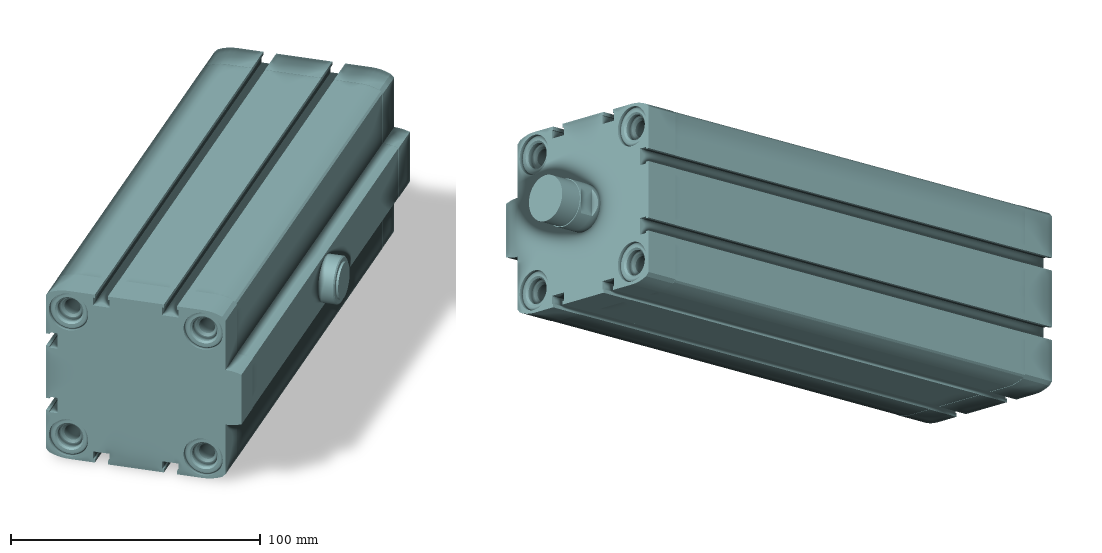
import cadquery as cq
import math

side = 75.5
half_side = side / 2
total_length = 245.7
rod_length = 21.0
housing_length = total_length - rod_length
housing_mid_y = housing_length / 2
cap_length = 15.0

middle_inset = 0.12

crown_radius = 19.7
crown_width = 9.5
cap_bevel = 1.5
middle_bevel = 0.7

ridge_height = 6.6
ridge_width = 24.5
ridge_face_x = half_side + ridge_height

slot_offset = 14.5
slot_mouth = 5.5
slot_width = 7.0
slot_depth = 5.0
slot_lip = 1.5

hole_offset = 28.3
bore_diameter = 6.6
bore_mouth_diameter = 8.5
socket_diameter = 10.5
socket_mouth_diameter = 12.0
socket_depth = 3.0
recess_diameter = 16.5
recess_depth = 1.2
collar_diameter = 15.5

connector_diameter = 20.0
connector_length = 6.6
connector_chamfer = 0.5
insert_diameter = 15.5
overall_width = 89.7
insert_length = overall_width - side - ridge_height - connector_length

stem_diameter = 20.0
stem_length = 11.0
tip_diameter = 19.2
flat_across = 16.5
flat_start = 3.0
flat_end = 9.0


def bar_outline(inset, bevel):
    """Section of the bar in X and Z, every face moved inward by inset."""
    edge = half_side - inset
    arc_start_x = half_side - crown_width
    arc_width = crown_width - inset - bevel
    arc_angle = math.asin(arc_width / crown_radius)

    def arc_point(angle):
        x = arc_start_x + crown_radius * math.sin(angle)
        z = edge - crown_radius * (1 - math.cos(angle))
        return x, z

    arc_start = arc_point(0)
    arc_middle = arc_point(arc_angle / 2)
    arc_end = arc_point(arc_angle)
    bevel_end = (edge, arc_end[1] - bevel)

    quarter = (
        cq.Workplane("XZ")
        .moveTo(0, edge)
        .lineTo(*arc_start)
        .threePointArc(arc_middle, arc_end)
        .lineTo(*bevel_end)
        .lineTo(edge, 0)
    )
    return quarter.mirrorX().mirrorY()


def ridge_outline(inset):
    """Section of the ridge, rooted inside the bar."""
    root_x = half_side - ridge_height
    face_x = ridge_face_x - inset
    half_width = ridge_width / 2 - inset
    arc_angle = math.asin((face_x - half_side) / crown_radius)

    def arc_point(angle):
        x = half_side + crown_radius * math.sin(angle)
        z = half_width - crown_radius * (1 - math.cos(angle))
        return x, z

    middle_x, middle_z = arc_point(arc_angle / 2)
    end_x, end_z = arc_point(arc_angle)
    return (
        cq.Workplane("XZ")
        .moveTo(root_x, half_width)
        .lineTo(half_side, half_width)
        .threePointArc((middle_x, middle_z), (end_x, end_z))
        .lineTo(end_x, -end_z)
        .threePointArc((middle_x, -middle_z), (half_side, -half_width))
        .lineTo(root_x, -half_width)
        .close()
    )


def housing_section(start_y, length, inset, bevel):
    """Stretch of the bar with its ridge, from start_y toward +Y."""
    bar = bar_outline(inset, bevel).extrude(-length)
    ridge = ridge_outline(inset).extrude(-length)
    return bar.union(ridge).translate((0, start_y, 0))


def t_slot(along, turn):
    """Full-length T-slot cutter beside the centre of a face; turn 0 is the top face."""
    under_height = slot_depth - slot_lip
    mouth = cq.Workplane("XY").box(slot_mouth, housing_length, 2 * slot_lip)
    under = cq.Workplane("XY").box(slot_width, housing_length, under_height)
    under = under.translate((0, 0, -slot_lip - under_height / 2))
    cutter = mouth.union(under).translate((along, housing_mid_y, half_side))
    return cutter.rotate((0, 0, 0), (0, 1, 0), turn)


def cone_step(start_diameter, end_diameter, start_y):
    """45 degree cone from the larger start diameter, narrowing toward +Y."""
    depth = (start_diameter - end_diameter) / 2
    cone = cq.Solid.makeCone(
        start_diameter / 2, end_diameter / 2, depth, cq.Vector(0, start_y, 0), cq.Vector(0, 1, 0)
    )
    return cq.Workplane(obj=cone)


def plain_hole(diameter, start_y, depth):
    return cq.Workplane("XZ", origin=(0, start_y, 0)).circle(diameter / 2).extrude(-depth)


def collar_groove():
    """V-groove around the collar, in the recess floor, with a conical inner wall."""
    collar_radius = collar_diameter / 2
    recess_radius = recess_diameter / 2
    groove_bottom = recess_depth + recess_radius - collar_radius
    return (
        cq.Workplane("XY")
        .moveTo(collar_radius, recess_depth)
        .lineTo(recess_radius, recess_depth)
        .lineTo(recess_radius, groove_bottom)
        .close()
        .revolve(360, (0, 0, 0), (0, 1, 0))
    )


def fastening_hole():
    """Cutter for one through hole on the Y axis, alike at both ends."""
    socket_floor = recess_depth + socket_depth
    end_form = (
        plain_hole(recess_diameter, 0, recess_depth)
        .union(collar_groove())
        .union(plain_hole(socket_diameter, 0, socket_floor))
        .union(cone_step(socket_mouth_diameter, socket_diameter, recess_depth))
        .union(cone_step(bore_mouth_diameter, bore_diameter, socket_floor))
    )
    far_form = end_form.mirror("XZ").translate((0, housing_length, 0))
    return plain_hole(bore_diameter, 0, housing_length).union(end_form).union(far_form)


def make_housing():
    middle_length = housing_length - 2 * cap_length
    housing = housing_section(cap_length, middle_length, middle_inset, middle_bevel)
    for cap_start in (0, housing_length - cap_length):
        housing = housing.union(housing_section(cap_start, cap_length, 0, cap_bevel))
    for turn in (0, 180, -90):
        for along in (-slot_offset, slot_offset):
            housing = housing.cut(t_slot(along, turn))
    hole = fastening_hole()
    for x in (-hole_offset, hole_offset):
        for z in (-hole_offset, hole_offset):
            housing = housing.cut(hole.translate((x, 0, z)))
    return housing


def make_side_connector():
    shell = (
        cq.Workplane("YZ", origin=(ridge_face_x, housing_mid_y, 0))
        .circle(connector_diameter / 2)
        .extrude(connector_length)
        .faces(">X")
        .chamfer(connector_chamfer)
    )
    return shell.faces(">X").workplane().circle(insert_diameter / 2).extrude(insert_length)


def wrench_flat():
    """Cutter for the +X wrench flat, with 45 degree slopes at both ends."""
    flat_x = flat_across / 2
    outer_x = stem_diameter / 2
    slope = outer_x - flat_x
    return (
        cq.Workplane("XY", origin=(0, housing_length, -stem_diameter / 2))
        .moveTo(outer_x, flat_start - slope)
        .lineTo(flat_x, flat_start)
        .lineTo(flat_x, flat_end)
        .lineTo(outer_x, flat_end + slope)
        .close()
        .extrude(stem_diameter)
    )


def make_rear_connector():
    blank = cq.Workplane("XZ", origin=(0, housing_length, 0))
    stem = blank.circle(stem_diameter / 2).extrude(-stem_length)
    tip = stem.faces(">Y").workplane().circle(tip_diameter / 2).extrude(rod_length - stem_length)
    flat = wrench_flat()
    return tip.cut(flat).cut(flat.mirror("YZ"))


housing = make_housing()
side_connector = make_side_connector()
rear_connector = make_rear_connector()

result = cq.Compound.makeCompound([housing.val(), side_connector.val(), rear_connector.val()])